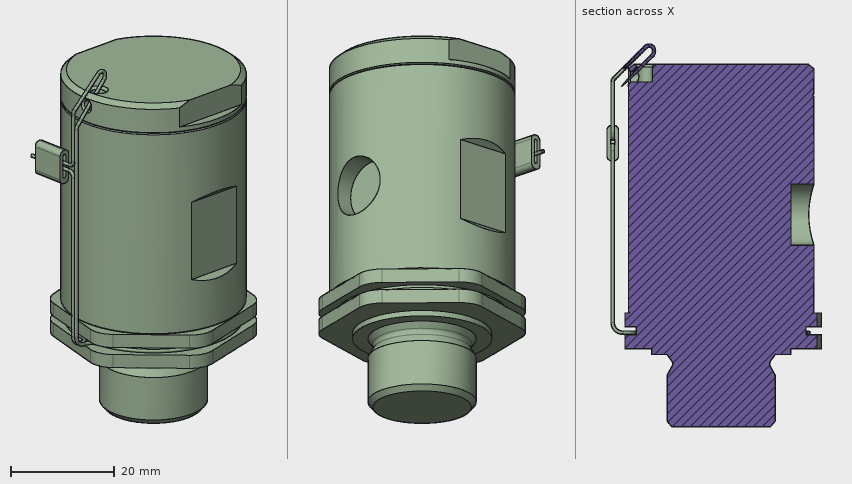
import cadquery as cq
import math

sleeve_radius = 36.0 / 2
thread_radius = 21.0 / 2
neck_end_radius = 9.65
neck_middle_radius = 9.4
collar_radius = 27.0 / 2
groove_radius = 33.0 / 2

thread_chamfer_top = 1.1
thread_top = 10.0
neck_bottom = 11.6
neck_top = 12.85
collar_bottom = 14.0
hexagon_thickness = 2.75
lower_hexagon_bottom = 15.15
upper_hexagon_bottom = 19.4
upper_hexagon_top = upper_hexagon_bottom + hexagon_thickness
cap_seam = 64.3
valve_top = 70.3

edge_break = 0.2
thread_chamfer = 1.0
cap_chamfer_width = 1.1
cap_chamfer_height = 0.9

hexagon_sides = 6
hexagon_apothem = sleeve_radius
hexagon_corner_radius = 5.1
hexagon_turn = 15

cap_flat_distance = 32.0 / 2
cap_flat_bottom = 65.4
sleeve_flat_distance = 33.95 / 2
sleeve_flat_length = 16.2
sleeve_flat_center = 41.15

port_diameter = 11.8
port_depth = 4.45

top_hole_diameter = 3.0
top_hole_chamfer = 0.5
top_hole_y = -14.85
front_hole_diameter = 2.0
front_hole_chamfer = 0.48
front_hole_z = 67.9

wire_diameter = 0.7
wire_top = 74.3
strand_y = -21.0
strand_offset = 0.45
ring_radius = 17.0
ring_z = 18.3
ring_entry_radius = 2.1
strand_foot_radius = 1.9
strand_top_radius = 1.0
loop_y = -13.0
loop_radius = 1.0
loop_turn = 135
loop_exit_radius = 1.1
loop_exit_z = 72.35
fork_radius = 1.1
upper_end_z = 55.85
tail_z = 54.65
tail_x = -12.0
passage_diameter = 0.9

block_center_x = -6.45
block_center_z = 55.0
block_side = 7.0
block_thickness = 2.3
block_edge_radius = 1.05
slot_length = 4.9
slot_width = 0.75
slot_center_z = block_center_z + 0.15


def turned_body():
    """Revolved outline of the valve without its two hexagons."""
    shoulder_radius = sleeve_radius - edge_break
    below_neck = [
        (0, 0),
        (thread_radius - thread_chamfer, 0),
        (thread_radius, thread_chamfer_top),
        (thread_radius, thread_top),
        (neck_end_radius, neck_bottom),
    ]
    neck_middle = (neck_middle_radius, (neck_bottom + neck_top) / 2)
    neck_end = (neck_end_radius, neck_top)
    above_neck = [
        neck_end,
        (thread_radius, collar_bottom),
        (collar_radius, collar_bottom),
        (collar_radius, lower_hexagon_bottom),
        (groove_radius, lower_hexagon_bottom),
        (groove_radius, upper_hexagon_top),
        (shoulder_radius, upper_hexagon_top),
        (sleeve_radius, upper_hexagon_top + edge_break),
        (sleeve_radius, cap_seam - edge_break),
        (shoulder_radius, cap_seam),
        (sleeve_radius, cap_seam + edge_break),
        (sleeve_radius, valve_top - cap_chamfer_height),
        (sleeve_radius - cap_chamfer_width, valve_top),
        (0, valve_top),
    ]
    outline = cq.Workplane("XZ").polyline(below_neck).threePointArc(neck_middle, neck_end)
    outline = outline.polyline(above_neck).close()
    return outline.revolve(360, (0, 0), (0, 1))


def hexagon_plate(bottom):
    half_side_angle = math.pi / hexagon_sides
    corner_diameter = 2 * hexagon_apothem / math.cos(half_side_angle)
    plate = cq.Workplane("XY").polygon(hexagon_sides, corner_diameter).extrude(hexagon_thickness)
    plate = plate.edges("|Z").fillet(hexagon_corner_radius)
    return plate.rotate((0, 0, 0), (0, 0, 1), -hexagon_turn).translate((0, 0, bottom))


def cap_flat_cut():
    """Stock outside the cap flat on +X, open at the top."""
    height = valve_top - cap_flat_bottom
    stock = cq.Workplane("XY").box(sleeve_radius, 2 * sleeve_radius, height, centered=(False, True, False))
    return stock.translate((cap_flat_distance, 0, cap_flat_bottom))


def sleeve_flat_cut():
    """Stock outside the sleeve flat on +X, with 45 degree ends."""
    depth = sleeve_radius - sleeve_flat_distance
    inner = sleeve_flat_length / 2
    outer = inner + depth
    outline = [
        (sleeve_flat_distance, -inner),
        (sleeve_radius, -outer),
        (sleeve_radius, outer),
        (sleeve_flat_distance, inner),
    ]
    stock = cq.Workplane("XZ").polyline(outline).close().extrude(sleeve_radius, both=True)
    return stock.translate((0, 0, sleeve_flat_center))


def outlet_port_cut():
    start = cq.Vector(0, sleeve_radius - port_depth, sleeve_flat_center)
    return cq.Solid.makeCylinder(port_diameter / 2, port_depth, start, cq.Vector(0, 1, 0))


def chamfered_hole(diameter, chamfer, mouth, depth, direction):
    """Drill and countersink that start at the mouth point."""
    radius = diameter / 2
    drill = cq.Solid.makeCylinder(radius, depth, mouth, direction)
    countersink = cq.Solid.makeCone(radius + chamfer, radius, chamfer, mouth, direction)
    return drill.fuse(countersink)


def seal_hole_cut():
    """The two seal holes and the slanted passage of the wire between them."""
    top_mouth = cq.Vector(0, top_hole_y, valve_top)
    top_depth = valve_top - front_hole_z + front_hole_diameter / 2
    top_hole = chamfered_hole(
        top_hole_diameter, top_hole_chamfer, top_mouth, top_depth, cq.Vector(0, 0, -1)
    )
    front_mouth = cq.Vector(0, -sleeve_radius, front_hole_z)
    front_depth = top_hole_y + sleeve_radius
    front_hole = chamfered_hole(
        front_hole_diameter, front_hole_chamfer, front_mouth, front_depth, cq.Vector(0, 1, 0)
    )
    corners = cap_loop_corners()
    slant = corners[-1] - corners[-2]
    passage = cq.Solid.makeCylinder(passage_diameter / 2, slant.Length, corners[-2], slant)
    return top_hole.fuse(front_hole, passage)


def make_valve():
    body = turned_body()
    for bottom in (lower_hexagon_bottom, upper_hexagon_bottom):
        body = body.union(hexagon_plate(bottom))
    for turn in (0, 180):
        for cut in (cap_flat_cut(), sleeve_flat_cut()):
            body = body.cut(cut.rotate((0, 0, 0), (0, 0, 1), turn))
    return body.cut(cq.Workplane(outlet_port_cut())).cut(cq.Workplane(seal_hole_cut()))


def cap_loop_corners():
    """Sharp corners of the wire path over and through the cap, both slopes at 45 degrees in YZ."""
    run = loop_y - strand_y
    loop_center_z = wire_top - wire_diameter / 2 - loop_radius
    peak_z = loop_center_z + loop_radius * math.tan(math.radians(loop_turn / 2))
    return [
        cq.Vector(-strand_offset, strand_y, peak_z - run),
        cq.Vector(0, loop_y, peak_z),
        cq.Vector(0, loop_y, loop_exit_z),
        cq.Vector(strand_offset, strand_y, loop_exit_z - run),
    ]


def rounded_path(points, radii):
    """Edges of a polyline whose inner corners are rounded with the given radii."""
    edges = []
    start = points[0]
    for before, corner, after, radius in zip(points, points[1:], points[2:], radii):
        incoming = (before - corner).normalized()
        outgoing = (after - corner).normalized()
        half_angle = incoming.getAngle(outgoing) / 2
        setback = radius / math.tan(half_angle)
        bisector = (incoming + outgoing).normalized()
        arc_start = corner + incoming * setback
        arc_middle = corner + bisector * (radius / math.sin(half_angle) - radius)
        arc_end = corner + outgoing * setback
        edges.append(cq.Edge.makeLine(start, arc_start))
        edges.append(cq.Edge.makeThreePointArc(arc_start, arc_middle, arc_end))
        start = arc_end
    edges.append(cq.Edge.makeLine(start, points[-1]))
    return edges


def ring_path():
    """Ring around the valve groove, with a curved entry from each strand."""
    entry_x = strand_offset + ring_entry_radius
    entry_y = -math.sqrt((ring_radius + ring_entry_radius) ** 2 - entry_x**2)
    entry_center = cq.Vector(entry_x, entry_y, ring_z)
    to_ring = cq.Vector(-entry_x, -entry_y, 0).normalized()
    between = (to_ring + cq.Vector(-1, 0, 0)).normalized()
    strand_end = entry_center + cq.Vector(-ring_entry_radius, 0, 0)
    entry_middle = entry_center + between * ring_entry_radius
    ring_start = entry_center + to_ring * ring_entry_radius

    def mirrored(point):
        return cq.Vector(-point.x, point.y, point.z)

    back = cq.Vector(0, ring_radius, ring_z)
    edges = [
        cq.Edge.makeThreePointArc(strand_end, entry_middle, ring_start),
        cq.Edge.makeThreePointArc(ring_start, back, mirrored(ring_start)),
        cq.Edge.makeThreePointArc(mirrored(ring_start), mirrored(entry_middle), mirrored(strand_end)),
    ]
    return edges, strand_end, mirrored(strand_end)


def make_wire():
    """One wire: block, cap loop, right strand, groove ring, left strand, block and tail."""
    ring_edges, ring_in, ring_out = ring_path()
    upper_end = cq.Vector(block_center_x, strand_y, upper_end_z)
    down_points = [
        upper_end,
        cq.Vector(-strand_offset, strand_y, upper_end_z),
        *cap_loop_corners(),
        cq.Vector(strand_offset, strand_y, ring_z),
        ring_in,
    ]
    down_radii = [
        fork_radius,
        strand_top_radius,
        loop_radius,
        loop_exit_radius,
        strand_top_radius,
        strand_foot_radius,
    ]
    up_points = [
        ring_out,
        cq.Vector(-strand_offset, strand_y, ring_z),
        cq.Vector(-strand_offset, strand_y, tail_z),
        cq.Vector(tail_x, strand_y, tail_z),
    ]
    up_radii = [strand_foot_radius, fork_radius]
    path = cq.Wire.assembleEdges(
        rounded_path(down_points, down_radii) + ring_edges + rounded_path(up_points, up_radii)
    )
    section = cq.Workplane("YZ", origin=upper_end.toTuple()).circle(wire_diameter / 2)
    return section.sweep(cq.Workplane(path))


def make_block():
    block = cq.Workplane("XY").box(block_side, block_thickness, block_side)
    block = block.edges("|X").fillet(block_edge_radius)
    block = block.translate((block_center_x, strand_y, block_center_z))
    slot_plane = cq.Workplane("YZ", origin=(block_center_x, strand_y, slot_center_z))
    slot = slot_plane.slot2D(slot_length, slot_width, 90).extrude(block_side / 2, both=True)
    return block.cut(slot)


valve = make_valve()
wire = make_wire()
block = make_block()

result = cq.Compound.makeCompound([valve.solids().val(), wire.val(), block.solids().val()])